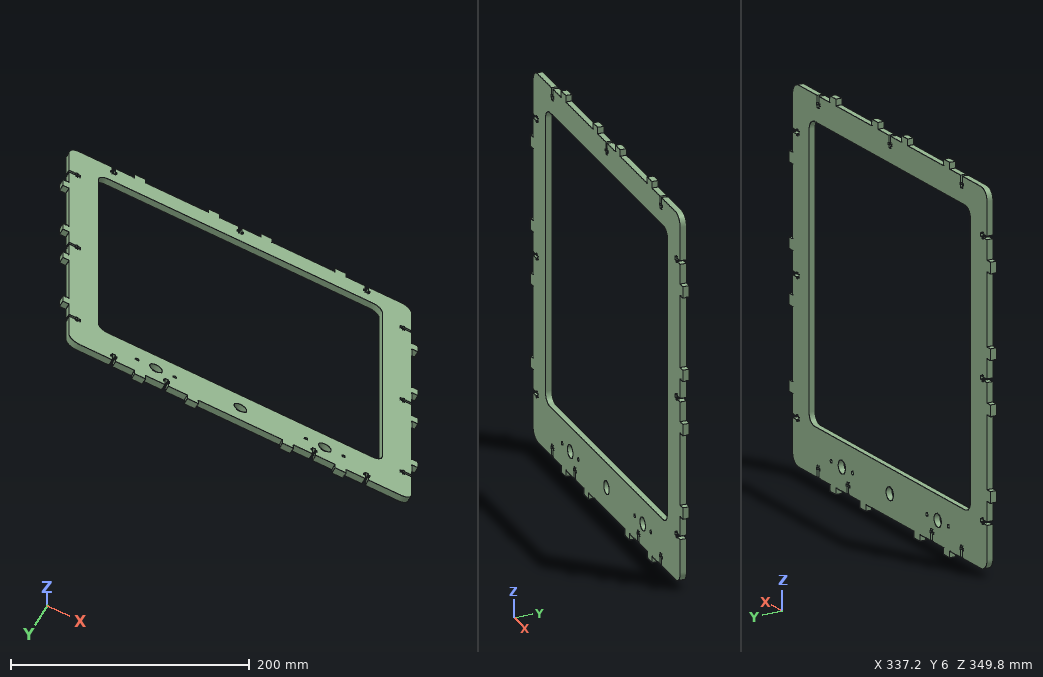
import cadquery as cq

thickness = 6.0
body_width = 325.2
body_height = 337.8
corner_radius = 10.0

window_size = 269.3
top_rail = 24.5
window_corner_radius = 9.0

tab_width = 10.5
tab_height = thickness
slot_to_tab = 25.0
bolt_width = 3.0
bolt_depth = 11.0
nut_width = 5.5
nut_thickness = 1.7
nut_depth = 7.7

outer_slot = 120.0
outer_tab = outer_slot - slot_to_tab
bottom_inner_slot = 70.0
bottom_inner_tab = bottom_inner_slot - slot_to_tab
side_slot = 126.2
side_tab = side_slot - slot_to_tab
middle_tab = slot_to_tab

hole_height = 21.5
large_diameter = 12.0
small_diameter = 3.0
large_spacing = 80.0
small_offset = 18.0


def both_sides(*distances):
    """Mirror distances about the middle of an edge."""
    return [sign * distance for distance in distances for sign in (-1, 1)]


def plate(width, height, x=0, z=0):
    """Box of full panel thickness centred at (x, z)."""
    return cq.Workplane("XY").box(width, thickness, height).translate((x, 0, z))


def rounded_plate(width, height, radius, z=0):
    """Plate with its four corners rounded."""
    return plate(width, height, z=z).edges("|Y").fillet(radius)


def tab(x):
    """Tab standing on a top edge that lies at Z = 0."""
    return plate(tab_width, tab_height, x, tab_height / 2)


def t_slot(x):
    """Bolt slot with a cross pocket for the nut, cut down from a top edge at Z = 0."""
    bolt = plate(bolt_width, bolt_depth, x, -bolt_depth / 2)
    nut = plate(nut_width, nut_thickness, x, -nut_depth)
    return bolt.union(nut)


def add_joints(panel, angle, edge_distance, tabs, slots):
    """Put tabs and T-slots on the edge reached by turning the top edge about Y."""

    def place(shape):
        return shape.translate((0, 0, edge_distance)).rotate((0, 0, 0), (0, 1, 0), angle)

    for position in tabs:
        panel = panel.union(place(tab(position)))
    for position in slots:
        panel = panel.cut(place(t_slot(position)))
    return panel


def drill(panel, diameter, positions):
    """Drill a row of through holes in the bottom rail."""
    z = hole_height - body_height / 2
    holes = (
        cq.Workplane("XZ")
        .pushPoints([(x, z) for x in positions])
        .circle(diameter / 2)
        .extrude(thickness, both=True)
    )
    return panel.cut(holes)


window_z = body_height / 2 - top_rail - window_size / 2
frame = rounded_plate(body_width, body_height, corner_radius)
frame = frame.cut(rounded_plate(window_size, window_size, window_corner_radius, window_z))

top_tabs = both_sides(outer_tab, middle_tab)
top_slots = [0] + both_sides(outer_slot)
bottom_tabs = both_sides(outer_tab, bottom_inner_tab)
bottom_slots = both_sides(outer_slot, bottom_inner_slot)
side_tabs = both_sides(side_tab, middle_tab)
side_slots = [0] + both_sides(side_slot)

frame = add_joints(frame, 0, body_height / 2, top_tabs, top_slots)
frame = add_joints(frame, 180, body_height / 2, bottom_tabs, bottom_slots)
for side_angle in (90, -90):
    frame = add_joints(frame, side_angle, body_width / 2, side_tabs, side_slots)

frame = drill(frame, large_diameter, [0] + both_sides(large_spacing))
small_positions = both_sides(large_spacing - small_offset, large_spacing + small_offset)
result = drill(frame, small_diameter, small_positions)